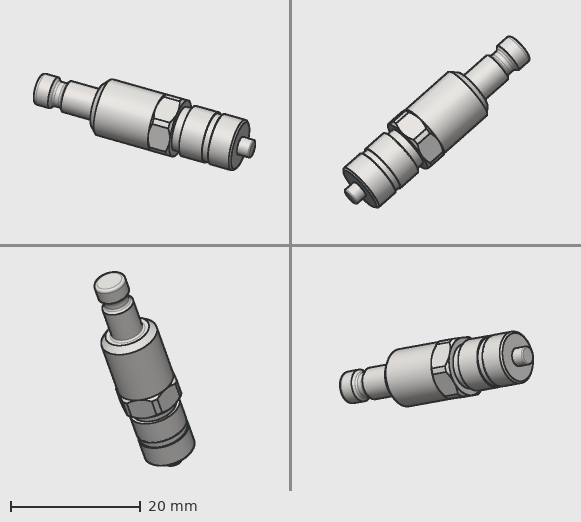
import cadquery as cq
import math


plug_dia = 5.0
tip_fillet = 0.5
groove_dia = 3.95
groove_start = 2.55
groove_end = 4.75
groove_wall_angle = 45
groove_fillet = 0.5
plug_root_fillet = 0.3

body_start = 10.0
body_dia = 9.0
body_chamfer = 1.0

nut_start = 20.0
nut_length = 3.55
nut_across_flats = 9.0
nut_corner_dia = 9.9
nut_turn = 14.3

neck_dia = 7.0
sleeve_start = 25.0
sleeve_end = 33.55
sleeve_dia = 8.1
sleeve_chamfer = 0.3
band_start = 28.75
band_width = 1.05
band_dia = 7.7

pin_length = 2.0
pin_dia = 2.85
pin_fillet = 0.2

nut_end = nut_start + nut_length
pin_end = sleeve_end + pin_length


def cylinder(start, end, dia):
    """Round section along X between two stations."""
    return cq.Workplane("YZ", origin=(start, 0, 0)).circle(dia / 2).extrude(end - start)


def arc_point(radius, angle):
    """Run and rise from the low end of a tangent arc after turning through an angle in degrees."""
    turn = math.radians(angle)
    return radius * math.sin(turn), radius * (1 - math.cos(turn))


def make_plug():
    plug_r = plug_dia / 2
    groove_r = groove_dia / 2
    arc_run, arc_rise = arc_point(groove_fillet, groove_wall_angle)
    mid_run, mid_rise = arc_point(groove_fillet, groove_wall_angle / 2)
    cone_rise = plug_r - groove_r - arc_rise
    cone_run = cone_rise / math.tan(math.radians(groove_wall_angle))
    front_floor = groove_start + cone_run + arc_run
    rear_floor = groove_end - cone_run - arc_run
    front_mid = (front_floor - mid_run, groove_r + mid_rise)
    rear_mid = (rear_floor + mid_run, groove_r + mid_rise)
    root_start = body_start - plug_root_fillet
    root_run, root_rise = arc_point(plug_root_fillet, 90 / 2)
    root_mid = (root_start + root_run, plug_r + root_rise)
    root_end = (body_start, plug_r + plug_root_fillet)
    profile = (
        cq.Workplane("XY")
        .lineTo(0, plug_r - tip_fillet)
        .radiusArc((tip_fillet, plug_r), tip_fillet)
        .lineTo(groove_start, plug_r)
        .lineTo(groove_start + cone_run, groove_r + arc_rise)
        .threePointArc(front_mid, (front_floor, groove_r))
        .lineTo(rear_floor, groove_r)
        .threePointArc(rear_mid, (groove_end - cone_run, groove_r + arc_rise))
        .lineTo(groove_end, plug_r)
        .lineTo(root_start, plug_r)
        .threePointArc(root_mid, root_end)
        .lineTo(body_start, 0)
        .close()
    )
    return profile.revolve(360, (0, 0, 0), (1, 0, 0))


def make_body():
    return cylinder(body_start, nut_start, body_dia).faces("<X").chamfer(body_chamfer)


def make_nut():
    across_corners = nut_across_flats / math.cos(math.radians(30))
    hexagon = (
        cq.Workplane("YZ", origin=(nut_start, 0, 0))
        .polygon(6, across_corners)
        .extrude(nut_length)
        .rotate((0, 0, 0), (1, 0, 0), nut_turn)
    )
    corner_chamfer = (nut_corner_dia - nut_across_flats) / 2
    turned = cylinder(nut_start, nut_end, nut_corner_dia).faces("<X or >X").chamfer(corner_chamfer)
    return hexagon.intersect(turned)


def make_sleeve():
    band_end = band_start + band_width
    front = cylinder(sleeve_start, band_start, sleeve_dia)
    band = cylinder(band_start, band_end, band_dia)
    rear = cylinder(band_end, sleeve_end, sleeve_dia).faces(">X").chamfer(sleeve_chamfer)
    return front.union(band).union(rear)


def make_pin():
    return cylinder(sleeve_end, pin_end, pin_dia).faces(">X").fillet(pin_fillet)


neck = cylinder(nut_end, sleeve_start, neck_dia)
result = make_plug()
for section in (make_body(), make_nut(), neck, make_sleeve(), make_pin()):
    result = result.union(section)